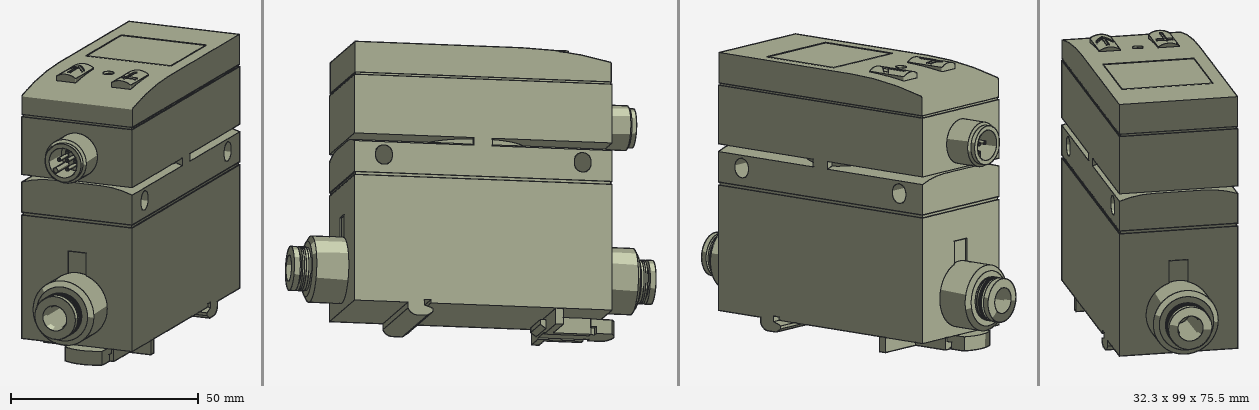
import cadquery as cq
import math

WIDTH = 32.3
OVERALL_LENGTH = 99.0
HOUSING_LENGTH = 70.1
HALF_WIDTH = WIDTH / 2
FRONT = -HOUSING_LENGTH / 2

ROOT_DEPTH = 1.0

LOWER_GROOVE_BOTTOM = 34.1
LOWER_GROOVE_TOP = 34.8
ARCH_EDGE = 43.2
ARCH_TOP = 44.7
UPPER_BOTTOM = 45.2
UPPER_GROOVE_BOTTOM = 61.2
UPPER_GROOVE_TOP = 61.8
COVER_TOP = 70.1
SEAM_INSET = 0.3

ARCH_FLAT_HALF = 6.9
NECK_RADIUS = 14.6
NECK_STRIP = 4.95

SLOPE_START = -10.4
COVER_FRONT_TOP = 67.0
COVER_INSET = 0.2
COVER_FILLET = 0.6
DISPLAY_WIDTH = 24.75
DISPLAY_LENGTH = 23.0
DISPLAY_Y = 10.0
DISPLAY_DEPTH = 0.2

BUTTON_X = 8.0
BUTTON_Y = -18.5
BUTTON_LENGTH = 11.8
BUTTON_WIDTH = 5.7
BUTTON_TOP = 71.2
BUTTON_CROWN_RADIUS = 4.95
BUTTON_CORNER = 0.3
BUTTON_ROOT = 67.3
ARROW_LENGTH = 7.5
ARROW_HALF_SPAN = 2.2
ARROW_SHAFT_HALF = 0.4
ARROW_BARB_HEIGHT = 1.7
ARROW_DEPTH = 0.4

LAMP_Y = -14.6
LAMP_HOLE_DIAMETER = 2.9
LAMP_DISH_DIAMETER = 2.2
LAMP_DISH_DEPTH = 0.3
LAMP_RECESS = 0.7

SLOT_Y = 27.0
SLOT_Z = 39.7
SLOT_WIDTH = 4.6
SLOT_HEIGHT = 5.2

PORT_Z = 11.0
COLLAR_DIAMETER = 17.7
COLLAR_FACE_DIAMETER = 14.85
COLLAR_CHAMFER_START = 43.8
COLLAR_END = 44.6
SLEEVE_DIAMETER = 11.5
SLEEVE_RING_DIAMETER = 11.8
SLEEVE_RINGS = ((45.2, 45.9), (46.4, 46.9))
SLEEVE_NECK_DIAMETER = 8.3
FLANGE_START = 47.6
FLANGE_RIM = 49.2
BORE_DIAMETER = 6.0
BORE_MOUTH_DIAMETER = 6.9
BORE_MOUTH_DEPTH = 2.0
BORE_DEPTH = 14.85

PLATE_WIDTH = 5.2
PLATE_TOP = 25.6
PLATE_DEPTH = 0.5

PLUG_Z = 52.5
PLUG_DIAMETER = 12.0
PLUG_TIP_DIAMETER = 10.5
PLUG_CHAMFER_START = 42.3
PLUG_TIP_START = 42.8
PLUG_END = 44.1
SOCKET_DIAMETER = 8.1
SOCKET_DEPTH = 7.9
PIN_DIAMETER = 1.0
PIN_PITCH_RADIUS = 2.4
PIN_SETBACK = 2.5
PIN_CHAMFER = 0.2
KEY_DIAMETER = 1.5
KEY_OFFSET = 2.6
KEY_SETBACK = 0.7

HOOK_BACK = 20.5
HOOK_BOTTOM = -3.4
HOOK_BACK_CORNER = -1.6
HOOK_BACK_ARC_MIDDLE = (19.6, -2.8)
HOOK_HEEL = 17.8
HOOK_TOE = 15.2
HOOK_NOSE_BOTTOM = (13.7, -2.3)
HOOK_NOSE_TOP = (13.7, -1.5)
HOOK_NOSE_SHOULDER = -1.2
HOOK_THROAT = -0.6
HOOK_NOTCH_BACK = 16.0
HOOK_NOTCH_FRONT = 14.3
HOOK_NOTCH_TOP = 0.9

LATCH_HALF_WIDTH = 15.6
LATCH_BACK = -19.8
LATCH_BAR_FRONT = -21.9
LATCH_STEM_FRONT = -32.1
LATCH_BOTTOM = -4.3
LATCH_CENTER_X = 3.3
LATCH_STEM_WIDTH = 12.3
TAB_WIDTH = 11.1
TAB_TIP_WIDTH = 10.7
TAB_SIDE_FRONT = -36.9
TAB_CORNER_FRONT = -38.0
TAB_FRONT = -39.5
TAB_BOTTOM = -3.9
TAB_NOTCH_FRONT = -33.7
TAB_NOTCH_TOP = -2.0
TAB_NOTCH_DEPTH = 2.0
LIP_BACK = -18.3
LIP_TOP = -0.8
LIP_CORNER = -2.1
LIP_BOTTOM = -3.2
LATCH_RELIEF_WIDTH = 7.7


def block(width, length, bottom, top):
    """Rectangular block centred on the Z axis between two levels."""
    return cq.Workplane("XY").workplane(offset=bottom).rect(width, length).extrude(top - bottom)


def front_cylinder(x, z, diameter, start, end):
    """Cylinder along Y between two distances from the middle, on the front side."""
    return (
        cq.Workplane("XZ", origin=(0, -start, 0))
        .center(x, z)
        .circle(diameter / 2)
        .extrude(end - start)
    )


def turned_front(profile, z):
    """Solid of revolution around a front-facing axis from (radius, distance) points."""
    points = [(radius, -distance) for radius, distance in profile]
    return (
        cq.Workplane("XY", origin=(0, 0, z))
        .polyline(points)
        .close()
        .revolve(360, (0, 0, 0), (0, 1, 0))
    )


def make_lower_section():
    seam_width = WIDTH - 2 * SEAM_INSET
    seam_length = HOUSING_LENGTH - 2 * SEAM_INSET
    run = HALF_WIDTH - ARCH_FLAT_HALF
    drop = ARCH_TOP - ARCH_EDGE
    radius = (run**2 + drop**2) / (2 * drop)
    middle_x = ARCH_FLAT_HALF + run / 2
    middle_z = ARCH_TOP - radius + math.sqrt(radius**2 - (run / 2) ** 2)
    arched = (
        cq.Workplane("XZ")
        .moveTo(-HALF_WIDTH, LOWER_GROOVE_TOP)
        .lineTo(HALF_WIDTH, LOWER_GROOVE_TOP)
        .lineTo(HALF_WIDTH, ARCH_EDGE)
        .threePointArc((middle_x, middle_z), (ARCH_FLAT_HALF, ARCH_TOP))
        .lineTo(-ARCH_FLAT_HALF, ARCH_TOP)
        .threePointArc((-middle_x, middle_z), (-HALF_WIDTH, ARCH_EDGE))
        .close()
        .extrude(HOUSING_LENGTH / 2, both=True)
    )
    base = block(WIDTH, HOUSING_LENGTH, 0, LOWER_GROOVE_BOTTOM)
    seam = block(seam_width, seam_length, LOWER_GROOVE_BOTTOM, LOWER_GROOVE_TOP)
    return base.union(seam).union(arched)


def make_neck():
    strip = block(WIDTH, NECK_STRIP, LOWER_GROOVE_TOP, UPPER_BOTTOM)
    column = (
        cq.Workplane("XY")
        .workplane(offset=LOWER_GROOVE_TOP)
        .circle(NECK_RADIUS)
        .extrude(UPPER_BOTTOM - LOWER_GROOVE_TOP)
    )
    return strip.union(column)


def make_upper_section():
    seam_width = WIDTH - 2 * SEAM_INSET
    seam_length = HOUSING_LENGTH - 2 * SEAM_INSET
    box = block(WIDTH, HOUSING_LENGTH, UPPER_BOTTOM, UPPER_GROOVE_BOTTOM)
    return box.union(block(seam_width, seam_length, UPPER_GROOVE_BOTTOM, UPPER_GROOVE_TOP))


def make_cover():
    cover_front = FRONT + COVER_INSET
    run = SLOPE_START - cover_front
    drop = COVER_TOP - COVER_FRONT_TOP
    radius = (run**2 + drop**2) / (2 * drop)
    middle_z = COVER_TOP - radius + math.sqrt(radius**2 - (run / 2) ** 2)
    cover = (
        cq.Workplane("YZ")
        .moveTo(cover_front, UPPER_GROOVE_TOP)
        .lineTo(-cover_front, UPPER_GROOVE_TOP)
        .lineTo(-cover_front, COVER_TOP)
        .lineTo(SLOPE_START, COVER_TOP)
        .threePointArc((SLOPE_START - run / 2, middle_z), (cover_front, COVER_FRONT_TOP))
        .close()
        .extrude(HALF_WIDTH, both=True)
    )
    front_edge = cq.selectors.NearestToPointSelector((0, cover_front, COVER_FRONT_TOP))
    cover = cover.edges(front_edge).fillet(COVER_FILLET)
    display = block(DISPLAY_WIDTH, DISPLAY_LENGTH, COVER_TOP - DISPLAY_DEPTH, COVER_TOP)
    return cover.cut(display.translate((0, DISPLAY_Y, 0)))


def make_button(x, arrow_turn):
    """Crowned push button with an engraved arrow that points to +Y before it is turned."""
    crown_center = BUTTON_TOP - BUTTON_CROWN_RADIUS
    crown_axis = cq.Workplane("XZ").center(0, crown_center)
    crown = crown_axis.circle(BUTTON_CROWN_RADIUS).extrude(BUTTON_LENGTH / 2, both=True)
    core = crown_axis.circle(BUTTON_CROWN_RADIUS - ARROW_DEPTH).extrude(BUTTON_LENGTH / 2, both=True)
    button = block(BUTTON_WIDTH, BUTTON_LENGTH, BUTTON_ROOT, BUTTON_TOP)
    button = button.edges("|Z and <Y").fillet(BUTTON_CORNER).intersect(crown)
    tip = ARROW_LENGTH / 2
    barb = tip - ARROW_HALF_SPAN
    inner = tip - ARROW_BARB_HEIGHT - ARROW_SHAFT_HALF
    arrow = (
        cq.Workplane("XY")
        .workplane(offset=BUTTON_ROOT)
        .polyline(
            [
                (0, tip),
                (ARROW_HALF_SPAN, barb),
                (ARROW_HALF_SPAN, barb - ARROW_BARB_HEIGHT),
                (ARROW_SHAFT_HALF, inner),
                (ARROW_SHAFT_HALF, -tip),
                (-ARROW_SHAFT_HALF, -tip),
                (-ARROW_SHAFT_HALF, inner),
                (-ARROW_HALF_SPAN, barb - ARROW_BARB_HEIGHT),
                (-ARROW_HALF_SPAN, barb),
            ]
        )
        .close()
        .extrude(BUTTON_TOP - BUTTON_ROOT)
        .rotate((0, 0, 0), (0, 0, 1), arrow_turn)
    )
    return button.cut(arrow.cut(core)).translate((x, BUTTON_Y, 0))


def make_lamp_recess():
    """Round hole whose floor is a narrower spherical dish."""
    floor = COVER_TOP - LAMP_RECESS
    dish_radius = LAMP_DISH_DIAMETER / 2
    sphere_radius = (dish_radius**2 + LAMP_DISH_DEPTH**2) / (2 * LAMP_DISH_DEPTH)
    hole = cq.Workplane("XY").workplane(offset=floor).circle(LAMP_HOLE_DIAMETER / 2).extrude(LAMP_RECESS)
    sphere = cq.Workplane("XY").sphere(sphere_radius)
    sphere = sphere.translate((0, 0, floor - LAMP_DISH_DEPTH + sphere_radius))
    well = cq.Workplane("XY").workplane(offset=floor - LAMP_DISH_DEPTH).circle(dish_radius)
    dish = well.extrude(LAMP_DISH_DEPTH).intersect(sphere)
    return hole.union(dish).translate((0, LAMP_Y, 0))


def make_port():
    """Front port before boring: chamfered collar, ringed sleeve, neck and flange."""
    collar_radius = COLLAR_DIAMETER / 2
    sleeve_radius = SLEEVE_DIAMETER / 2
    ring_radius = SLEEVE_RING_DIAMETER / 2
    neck_radius = SLEEVE_NECK_DIAMETER / 2
    mouth = OVERALL_LENGTH / 2
    root = -FRONT - ROOT_DEPTH
    profile = [
        (0, root),
        (collar_radius, root),
        (collar_radius, COLLAR_CHAMFER_START),
        (COLLAR_FACE_DIAMETER / 2, COLLAR_END),
        (sleeve_radius, COLLAR_END),
    ]
    for ring_start, ring_end in SLEEVE_RINGS:
        profile += [
            (sleeve_radius, ring_start),
            (ring_radius, ring_start),
            (ring_radius, ring_end),
            (sleeve_radius, ring_end),
        ]
    profile += [
        (neck_radius, SLEEVE_RINGS[-1][1]),
        (neck_radius, FLANGE_START),
        (ring_radius, FLANGE_START),
        (ring_radius, FLANGE_RIM),
        (BORE_MOUTH_DIAMETER / 2, mouth),
        (0, mouth),
    ]
    return turned_front(profile, PORT_Z)


def make_bore():
    mouth = OVERALL_LENGTH / 2
    profile = [
        (0, mouth),
        (BORE_MOUTH_DIAMETER / 2, mouth),
        (BORE_DIAMETER / 2, mouth - BORE_MOUTH_DEPTH),
        (BORE_DIAMETER / 2, mouth - BORE_DEPTH),
        (0, mouth - BORE_DEPTH),
    ]
    return turned_front(profile, PORT_Z)


def make_number_plate():
    height = PLATE_TOP - PORT_Z
    return (
        cq.Workplane("XY")
        .box(PLATE_WIDTH, 2 * PLATE_DEPTH, height)
        .translate((0, FRONT, PORT_Z + height / 2))
    )


def make_plug():
    radius = PLUG_DIAMETER / 2
    tip_radius = PLUG_TIP_DIAMETER / 2
    root = -FRONT - ROOT_DEPTH
    return turned_front(
        [
            (0, root),
            (radius, root),
            (radius, PLUG_CHAMFER_START),
            (tip_radius, PLUG_TIP_START),
            (tip_radius, PLUG_END),
            (0, PLUG_END),
        ],
        PLUG_Z,
    )


def make_plug_socket():
    """Space inside the plug: a round socket around five contact pins and a keying rib."""
    floor = PLUG_END - SOCKET_DEPTH
    tip = PLUG_END - PIN_SETBACK
    socket = front_cylinder(0, PLUG_Z, SOCKET_DIAMETER, floor, PLUG_END)
    key_z = PLUG_Z - KEY_OFFSET
    socket = socket.cut(front_cylinder(-KEY_OFFSET, key_z, KEY_DIAMETER, floor, PLUG_END - KEY_SETBACK))
    pin_places = [(0, 0)]
    for quarter in range(4):
        angle = quarter * math.pi / 2
        pin_places.append((PIN_PITCH_RADIUS * math.cos(angle), PIN_PITCH_RADIUS * math.sin(angle)))
    for x, z in pin_places:
        pin = front_cylinder(x, PLUG_Z + z, PIN_DIAMETER, floor, tip)
        socket = socket.cut(pin.faces("<Y").chamfer(PIN_CHAMFER))
    return socket


def make_mounting_slot(y):
    return (
        cq.Workplane("YZ")
        .center(y, SLOT_Z)
        .slot2D(SLOT_HEIGHT, SLOT_WIDTH, 90)
        .extrude(HALF_WIDTH, both=True)
    )


def make_hook():
    """Full-width rail hook, its nose pointing to -Y."""
    return (
        cq.Workplane("YZ")
        .moveTo(HOOK_BACK, HOOK_NOTCH_TOP)
        .lineTo(HOOK_BACK, HOOK_BACK_CORNER)
        .threePointArc(HOOK_BACK_ARC_MIDDLE, (HOOK_HEEL, HOOK_BOTTOM))
        .lineTo(HOOK_TOE, HOOK_BOTTOM)
        .lineTo(*HOOK_NOSE_BOTTOM)
        .lineTo(*HOOK_NOSE_TOP)
        .lineTo(HOOK_NOTCH_FRONT, HOOK_NOSE_SHOULDER)
        .lineTo(HOOK_NOTCH_BACK, HOOK_THROAT)
        .lineTo(HOOK_NOTCH_BACK, HOOK_NOTCH_TOP)
        .close()
        .extrude(HALF_WIDTH, both=True)
    )


def make_hook_notch():
    return (
        cq.Workplane("YZ")
        .moveTo(HOOK_NOTCH_FRONT, 0)
        .lineTo(HOOK_NOTCH_BACK, 0)
        .lineTo(HOOK_NOTCH_BACK, HOOK_NOTCH_TOP)
        .lineTo(HOOK_NOTCH_FRONT, HOOK_NOTCH_TOP)
        .close()
        .extrude(HALF_WIDTH, both=True)
    )


def make_housing():
    housing = make_lower_section().union(make_neck()).union(make_upper_section())
    housing = housing.union(make_cover()).cut(make_lamp_recess())
    for side, arrow_turn in ((-1, 0), (1, 180)):
        housing = housing.union(make_button(side * BUTTON_X, arrow_turn))
    for side in (-1, 1):
        housing = housing.cut(make_mounting_slot(side * SLOT_Y))
    for turn in (0, 180):
        housing = housing.cut(make_number_plate().rotate((0, 0, 0), (0, 0, 1), turn))
        housing = housing.union(make_port().rotate((0, 0, 0), (0, 0, 1), turn))
        housing = housing.cut(make_bore().rotate((0, 0, 0), (0, 0, 1), turn))
    housing = housing.union(make_plug()).cut(make_plug_socket())
    return housing.union(make_hook()).cut(make_hook_notch())


def make_latch():
    """Rail latch: crossbar with a catching lip, stem and rounded release tab."""
    bar = block(2 * LATCH_HALF_WIDTH, LATCH_BACK - LATCH_BAR_FRONT, LATCH_BOTTOM, 0)
    bar = bar.translate((0, (LATCH_BACK + LATCH_BAR_FRONT) / 2, 0))
    lip = (
        cq.Workplane("YZ")
        .moveTo(LATCH_BACK, LIP_TOP)
        .lineTo(LIP_BACK, LIP_TOP)
        .lineTo(LIP_BACK, LIP_CORNER)
        .lineTo(LATCH_BACK, LIP_BOTTOM)
        .close()
        .extrude(LATCH_STEM_WIDTH / 2, both=True)
        .translate((LATCH_CENTER_X, 0, 0))
    )
    stem_length = LATCH_BACK - LATCH_STEM_FRONT
    stem = block(LATCH_STEM_WIDTH, stem_length, LATCH_BOTTOM, 0)
    stem = stem.translate((LATCH_CENTER_X, LATCH_BACK - stem_length / 2, 0))
    half_tab = TAB_WIDTH / 2
    half_tip = TAB_TIP_WIDTH / 2
    tab = (
        cq.Workplane("XY", origin=(LATCH_CENTER_X, 0, TAB_BOTTOM))
        .moveTo(-half_tab, LATCH_BAR_FRONT)
        .lineTo(-half_tab, TAB_SIDE_FRONT)
        .lineTo(-half_tip, TAB_CORNER_FRONT)
        .threePointArc((0, TAB_FRONT), (half_tip, TAB_CORNER_FRONT))
        .lineTo(half_tab, TAB_SIDE_FRONT)
        .lineTo(half_tab, LATCH_BAR_FRONT)
        .close()
        .extrude(-TAB_BOTTOM)
    )
    notch_length = LATCH_STEM_FRONT - TAB_NOTCH_FRONT
    notch_y = LATCH_STEM_FRONT - notch_length / 2
    notch = block(2 * TAB_NOTCH_DEPTH, notch_length, LATCH_BOTTOM, TAB_NOTCH_TOP)
    for side in (-1, 1):
        tab = tab.cut(notch.translate((LATCH_CENTER_X + side * half_tab, notch_y, 0)))
    relief = block(LATCH_RELIEF_WIDTH, stem_length, LATCH_BOTTOM, TAB_BOTTOM)
    relief = relief.translate((LATCH_CENTER_X, LATCH_BACK - stem_length / 2, 0))
    return bar.union(lip).union(stem).union(tab).cut(relief)


housing = make_housing()
latch = make_latch()

result = cq.Compound.makeCompound([housing.val(), latch.val()])